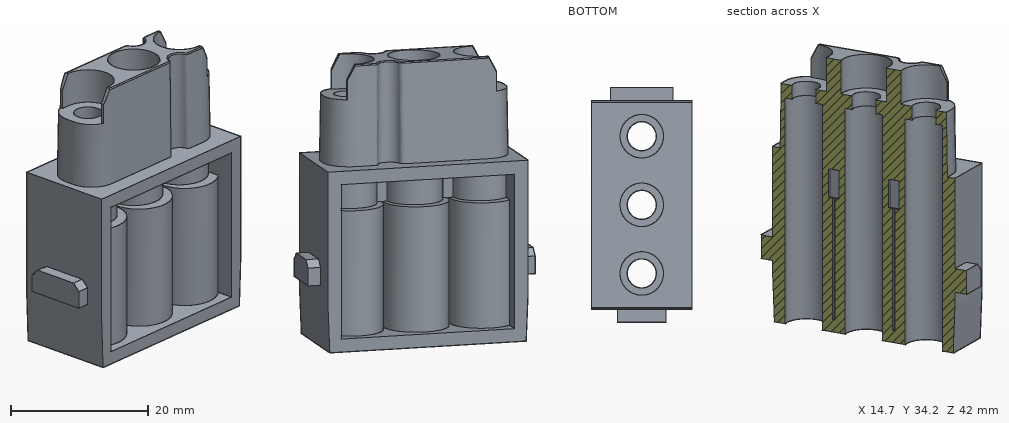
import cadquery as cq
import math

body_width = 14.65
body_length = 30.4
body_height = 26.9
overall_length = 34.2
overall_height = 41.95
plate_thickness = 1.97
bottom_taper_height = 7.3
bottom_taper_inset = 0.3

pitch = 10.0
contact_places = [(0, -pitch), (0, 0), (0, pitch)]

web_thickness = 1.0
end_wall = 2.05
pocket_length = body_length - 2 * end_wall
sleeve_diameter = 9.7
sleeve_round_offset = 1.05
neck_diameter = 8.47
neck_bottom = 20.6

tower_width = 9.3
tower_corner_radius = 4.0
tower_length = 2 * (pitch + tower_corner_radius)
tower_draft = 1.0
top_edge_chamfer = 0.15
tower_height = overall_height - body_height
notch_radius = 1.7
notch_half_spacing = 4.57
notch_place = pitch / 2
notch_lip_radius = 0.65

ledge_level = 36.8
recess_diameter = 7.6
tip_place = 11.33
tip_slope_level = 39.7
tip_slope_inset = 1.2

mouth_diameter = 4.2
mouth_depth = 2.2
bore_diameter = 6.35

front_peg_width = 9.1
rear_peg_width = 7.1
peg_bottom = 9.35
peg_top = 13.05
peg_chamfer = 1.05


def make_body():
    """Block whose two end faces draw in towards the bottom."""
    half = body_length / 2
    bottom_half = half - bottom_taper_inset
    outline = [
        (-bottom_half, 0),
        (bottom_half, 0),
        (half, bottom_taper_height),
        (half, body_height),
        (-half, body_height),
        (-half, bottom_taper_height),
    ]
    return cq.Workplane("YZ").polyline(outline).close().extrude(body_width / 2, both=True)


def contact_cylinders(diameter, bottom, top):
    """One upright cylinder at every contact position."""
    return (
        cq.Workplane("XY", origin=(0, 0, bottom))
        .pushPoints(contact_places)
        .circle(diameter / 2)
        .extrude(top - bottom)
    )


def make_pockets():
    """Material removed from both broad sides, around the web and the sleeves."""
    pocket_top = body_height - plate_thickness
    cavity = (
        cq.Workplane("XY", origin=(0, 0, plate_thickness))
        .rect(body_width, pocket_length)
        .extrude(pocket_top - plate_thickness)
    )
    web = cq.Workplane("XY").rect(web_thickness, body_length).extrude(body_height)
    sleeves = (
        cq.Workplane("XY", origin=(0, 0, plate_thickness))
        .pushPoints(contact_places)
        .slot2D(sleeve_diameter + 2 * sleeve_round_offset, sleeve_diameter)
        .extrude(neck_bottom - plate_thickness)
    )
    necks = contact_cylinders(neck_diameter, neck_bottom, pocket_top)
    return cavity.cut(web).cut(sleeves).cut(necks)


def make_tower():
    """Drafted tower with a rounded outline and a keying notch on each side."""
    outline = cq.Sketch().rect(tower_width, tower_length).vertices().fillet(tower_corner_radius)
    tower = (
        cq.Workplane("XY", origin=(0, 0, body_height))
        .placeSketch(outline)
        .extrude(tower_height, taper=tower_draft)
    )
    notches = (
        cq.Workplane("XY", origin=(0, 0, body_height))
        .pushPoints([(-notch_half_spacing, notch_place), (notch_half_spacing, notch_place)])
        .circle(notch_radius)
        .extrude(tower_height)
    )
    tower = tower.cut(notches)

    draft_shift = tower_height * math.tan(math.radians(tower_draft)) / 2
    lip_x = tower_width / 2 - draft_shift
    lip_offset = math.sqrt(notch_radius**2 - (notch_half_spacing - lip_x) ** 2)
    lip_level = body_height + tower_height / 2
    for side in (-1, 1):
        for end in (-1, 1):
            lip = (side * lip_x, notch_place + end * lip_offset, lip_level)
            tower = tower.edges(cq.selectors.NearestToPointSelector(lip)).fillet(notch_lip_radius)
    return tower.faces(">Z").edges().chamfer(top_edge_chamfer)


def make_tower_openings():
    """Contact recesses, the end channels leading out of them and the cut-back wall tips."""
    recesses = contact_cylinders(recess_diameter, ledge_level, overall_height)
    channel = (
        cq.Workplane("XY", origin=(0, 0, ledge_level))
        .center(0, pitch + tower_length / 2)
        .rect(recess_diameter, tower_length)
        .extrude(overall_height - ledge_level)
    )
    tip_outline = [
        (tip_place, ledge_level),
        (tower_length, ledge_level),
        (tower_length, overall_height),
        (tip_place - tip_slope_inset, overall_height),
        (tip_place, tip_slope_level),
    ]
    tip_cut = cq.Workplane("YZ").polyline(tip_outline).close().extrude(tower_width, both=True)
    end_cut = channel.union(tip_cut)
    return recesses.union(end_cut).union(end_cut.mirror("XZ"))


def make_peg(width, end):
    """Latch peg with two chamfered upper corners; end is -1 for the -Y face, 1 for +Y."""
    half = width / 2
    outline = [
        (-half, peg_bottom),
        (half, peg_bottom),
        (half, peg_top - peg_chamfer),
        (half - peg_chamfer, peg_top),
        (-half + peg_chamfer, peg_top),
        (-half, peg_top - peg_chamfer),
    ]
    peg_length = (overall_length - body_length) / 2
    plane = cq.Workplane("XZ", origin=(0, end * body_length / 2, 0))
    return plane.polyline(outline).close().extrude(-end * peg_length)


result = make_body().cut(make_pockets())
result = result.union(make_tower().cut(make_tower_openings()))
result = result.union(make_peg(front_peg_width, -1)).union(make_peg(rear_peg_width, 1))
result = result.cut(contact_cylinders(mouth_diameter, 0, overall_height))
result = result.cut(contact_cylinders(bore_diameter, 0, ledge_level - mouth_depth))